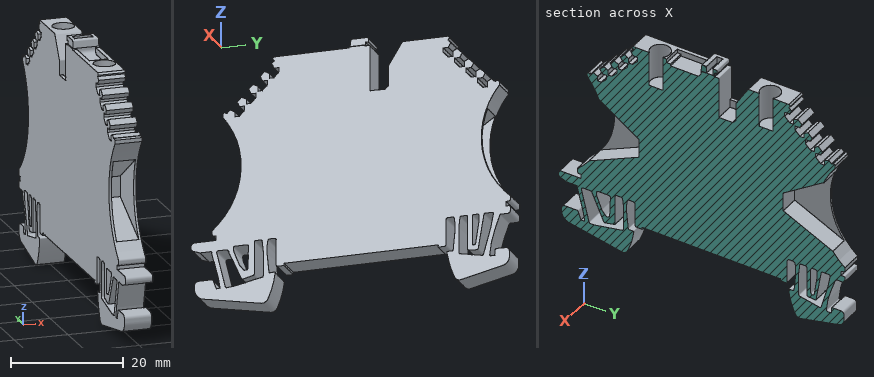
import cadquery as cq
import math


thickness = 5.1
length = 60.0
total_height = 47.9
top_z = 46.25
base_z = 7.1
base_lip_z = 6.65
left_end_y = 28.0
tail_end_y = length - left_end_y

tooth_count = 4
tooth_pitch = 2.15
first_tip = (16.85, 45.0)
groove_width = 1.25
groove_side = [(0, 0), (-0.5, -0.9), (-1.45, -0.9), (-1.45, -1.7)]

scallop_top = (26.0, 35.9)
scallop_apex = (22.55, 26.4)
scallop_bottom = (26.8, 15.95)
funnel_width = 4.15
funnel_mouth_y = 26.5
funnel_end_y = 15.1
funnel_end_z = (22.4, 26.2)
funnel_mouth_z = (17.05, 33.8)

screw_hole_diameter = 3.95
screw_hole_depth = 7.2
screw_hole_x = 0.3
screw_hole_y = 11.5
slot_y = (1.7, 5.1, 7.75)
slot_floor_z = 39.35
slot_slope_z = 42.0
slot_edge_radius = 0.2
slot_slope_radius = 0.5
trough_wall = 0.65
trough_depth = 1.7
trough_chamfer = 0.6
pocket_width = 3.5
pocket_y = (-9.25, -2.15)
pocket_depth = 1.2
pocket_step_length = 0.8
pocket_step_depth = 0.8
pocket_fillet = 0.9

pad_height = 0.2
pad_y = (-2.35, 0.8)
tag_width = 4.85
tag_y = (-2.15, 0.8, 1.3)
tag_draft = 0.2
tag_lip_z = 47.0
tag_edge_radius = 0.3
tag_window = (3.4, 1.25)
tag_window_y = -0.3

slit_top_z = 12.0
slit_corner_radius = 0.35
window_corner_radius = 0.3


def rounded_corner(before, corner, after):
    """Start, middle and end of the arc that rounds a corner (y, z, radius)."""
    y, z, radius = corner
    a = cq.Vector(before[0] - y, before[1] - z, 0).normalized()
    b = cq.Vector(after[0] - y, after[1] - z, 0).normalized()
    half_angle = a.getAngle(b) / 2
    tangent = radius / math.tan(half_angle)
    reach = radius / math.sin(half_angle) - radius
    point = cq.Vector(y, z, 0)
    middle = point + (a + b).normalized() * reach
    return [(p.x, p.y) for p in (point + a * tangent, middle, point + b * tangent)]


def mirrored_step(step, side):
    """Outline step moved to the given side of Y = 0."""
    if len(step) == 4:
        return (side * step[0], step[1], side * step[2], step[3])
    return (side * step[0], *step[1:])


def plate(steps, width, side=1):
    """Prism of the given width, centred on X = 0.

    A step is a sharp corner (y, z), a rounded one (y, z, radius), or an arc
    (middle y, middle z, end y, end z). The first step is a sharp corner.
    """
    steps = [mirrored_step(step, side) for step in steps]
    path = cq.Workplane("YZ").workplane(offset=-width / 2).moveTo(*steps[0])
    for i, step in enumerate(steps[1:], start=1):
        if len(step) == 2:
            path = path.lineTo(*step)
        elif len(step) == 4:
            path = path.threePointArc(step[:2], step[2:])
        else:
            previous = steps[i - 1]
            corner_before = previous[2:] if len(previous) == 4 else previous[:2]
            following = steps[(i + 1) % len(steps)]
            start, middle, end = rounded_corner(corner_before, step, following[:2])
            path = path.lineTo(*start).threePointArc(middle, end)
    return path.close().extrude(width)


def top_slot():
    """Corners along the top edge, into the slot and up its sloping far wall."""
    near, far, mouth = slot_y
    return [
        (0, top_z),
        (near, top_z, slot_edge_radius),
        (near, slot_floor_z),
        (far, slot_floor_z),
        (far, slot_slope_z, slot_slope_radius),
        (mouth, top_z, slot_slope_radius),
    ]


def toothed_shoulder():
    """Corners from the top edge down the shoulder to the scallop."""
    tip_y, tip_z = first_tip
    across = [(groove_width + z, y - groove_width) for y, z in reversed(groove_side)]
    corners = [(16.3, top_z), (16.7, 45.9), (16.3, 45.55)]
    for i in range(tooth_count):
        step = i * tooth_pitch
        corners += [(tip_y + step + y, tip_z - step + z) for y, z in groove_side + across]
    corners += [(25.2, 36.65), (25.6, 36.9), (26.0, 36.6), scallop_top, (*scallop_apex, *scallop_bottom)]
    return corners


def inner_leg():
    """Corners from the foot's underside up its inner leg, round the slit and onto the base."""
    return [
        (16.7, 2.8, 16.15, 5.4),
        (16.15, 5.65, 0.1),
        (17.3, 5.65, 0.2),
        (17.65, 9.35),
        (17.65, 10.75),
        (17.45, slit_top_z, slit_corner_radius),
        (15.95, slit_top_z, slit_corner_radius),
        (15.95, base_lip_z, slit_corner_radius),
        (14.45, base_lip_z),
        (14.45, base_z),
        (0, base_z),
    ]


def left_half():
    hook_foot = [
        (left_end_y, 14.9),
        (left_end_y, 13.8, 0.3),
        (27.25, 13.75),
        (27.25, 12.9),
        (left_end_y, 12.9, 0.25),
        (left_end_y, 11.45, 0.5),
        (26.1, 11.45, 0.25),
        (25.15, 8.75),
        (24.5, 6.4),
        (24.1, 3.85, 0.25),
        (25.1, 3.85),
        (25.2, 5.1, 0.3),
        (27.85, 5.1, 0.7),
        (27.85, 2.05, 1.55),
        (17.9, -0.2, 1.2),
        (17.35, 1.0),
    ]
    return plate(top_slot() + toothed_shoulder() + hook_foot + inner_leg(), thickness)


def right_half():
    tail_and_foot = [
        (28.0, 14.8, 0.5),
        (28.0, 13.75, 0.5),
        (27.25, 13.75),
        (27.25, 12.95),
        (tail_end_y, 12.95, 0.7),
        (tail_end_y, 11.5, 0.7),
        (30.25, 10.9),
        (28.15, 10.9),
        (26.8, 5.7),
        (26.5, 3.85),
        (27.2, 3.85),
        (27.85, 5.65, 0.35),
        (31.3, 5.65, 0.85),
        (31.3, 2.45, 2.05),
        (17.9, -0.1, 1.2),
        (17.35, 1.0),
    ]
    return plate([(0, top_z)] + toothed_shoulder() + tail_and_foot + inner_leg(), thickness, -1)


def foot_window(corners, side):
    return plate(corners, thickness, side).edges("|X").fillet(window_corner_radius)


def left_windows():
    around_tongue = [
        (24.9, slit_top_z),
        (23.1, slit_top_z),
        (21.95, 5.3),
        (20.0, 5.45),
        (20.0, slit_top_z),
        (18.6, slit_top_z),
        (18.35, 9.9),
        (18.35, 5.0),
        (22.9, 4.1),
        (24.35, 9.2),
    ]
    in_tongue = [(22.15, slit_top_z), (20.9, slit_top_z), (20.9, 6.3), (21.5, 6.3), (22.15, 10.6)]
    return foot_window(around_tongue, 1).union(foot_window(in_tongue, 1))


def right_windows():
    around_tongue = [
        (18.6, slit_top_z),
        (20.05, slit_top_z),
        (20.05, 5.5),
        (22.45, 5.0),
        (25.1, 10.9),
        (27.2, 10.9),
        (25.45, 3.8),
        (24.3, 3.85),
        (18.35, 5.0),
        (18.35, 9.9),
    ]
    in_tongue = [(21.1, 11.4), (24.0, 11.4), (23.9, 10.4), (22.8, 7.7), (21.95, 6.65), (21.3, 6.65)]
    return foot_window(around_tongue, -1).union(foot_window(in_tongue, -1))


def wire_funnel(side):
    """Four-sided recess that narrows in height from the scallop inward."""
    return plate(
        [
            (funnel_end_y, funnel_end_z[0]),
            (funnel_end_y, funnel_end_z[1]),
            (funnel_mouth_y, funnel_mouth_z[1]),
            (funnel_mouth_y, funnel_mouth_z[0]),
        ],
        funnel_width,
        side,
    )


def screw_hole(side):
    return (
        cq.Workplane("XY", origin=(screw_hole_x, side * screw_hole_y, top_z))
        .circle(screw_hole_diameter / 2)
        .extrude(-screw_hole_depth)
    )


def slot_trough():
    """Trough in the slot floor with one chamfered bottom edge, open to +X."""
    near, far, _ = slot_y
    bottom_z = slot_floor_z - trough_depth
    return plate(
        [
            (near, slot_floor_z),
            (near, bottom_z),
            (far - trough_chamfer, bottom_z),
            (far, bottom_z + trough_chamfer),
            (far, slot_floor_z),
        ],
        thickness,
    ).translate((trough_wall, 0, 0))


def marker_pocket():
    """Pocket beside the tag, with a raised step at one end and a rounded floor at the other."""
    y0, y1 = pocket_y
    floor_z = top_z - pocket_depth
    step_z = top_z - pocket_step_depth
    return plate(
        [
            (y0, top_z + pad_height),
            (y0, step_z),
            (y0 + pocket_step_length, step_z),
            (y0 + pocket_step_length, floor_z),
            (y1, floor_z, pocket_fillet),
            (y1, top_z + pad_height),
        ],
        pocket_width,
    )


def tag_pad():
    back, front = pad_y
    return plate(
        [(back, top_z), (back + pad_height, top_z + pad_height), (front, top_z + pad_height), (front, top_z)],
        thickness,
    )


def build_housing():
    housing = left_half().union(right_half()).union(tag_pad())
    housing = housing.cut(left_windows()).cut(right_windows())
    for side in (1, -1):
        housing = housing.cut(wire_funnel(side)).cut(screw_hole(side))
    return housing.cut(slot_trough()).cut(marker_pocket())


def build_tag():
    """Marker tag with a lip over the slot and a rectangular window through it."""
    back, front, lip = tag_y
    bottom_z = top_z + pad_height
    tag = plate(
        [
            (back, bottom_z),
            (back + tag_draft, total_height, tag_edge_radius),
            (lip, total_height, tag_edge_radius),
            (lip, tag_lip_z),
            (front, tag_lip_z),
            (front, bottom_z),
        ],
        tag_width,
    )
    window = cq.Workplane("XY", origin=(0, tag_window_y, bottom_z)).rect(*tag_window).extrude(total_height)
    return tag.cut(window)


housing = build_housing()
tag = build_tag()
result = cq.Compound.makeCompound([housing.val(), tag.val()])